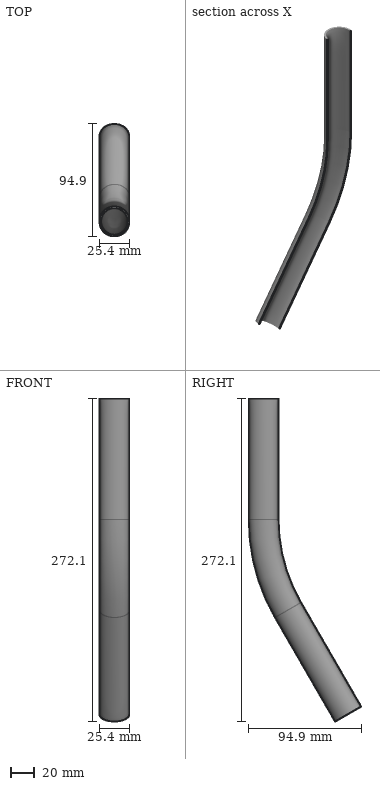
import cadquery as cq
import math

outer_diameter = 25.4
inner_diameter = 22.2
leg_length = 101.6
bend_radius = 152.4
bend_angle = 30.0


def tube_centreline():
    """Path in the YZ plane, from the top opening down to the lower opening."""
    angle = math.radians(bend_angle)

    def on_bend(turn):
        return (bend_radius * (1 - math.cos(turn)), -bend_radius * math.sin(turn))

    bend_end = on_bend(angle)
    lower_end = (
        bend_end[0] + leg_length * math.sin(angle),
        bend_end[1] - leg_length * math.cos(angle),
    )
    return (
        cq.Workplane("YZ")
        .moveTo(0, leg_length)
        .lineTo(0, 0)
        .threePointArc(on_bend(angle / 2), bend_end)
        .lineTo(*lower_end)
    )


def bent_tube():
    """Ring-shaped section swept along the centreline."""
    return (
        cq.Workplane("XY", origin=(0, 0, leg_length))
        .circle(outer_diameter / 2)
        .circle(inner_diameter / 2)
        .sweep(tube_centreline())
    )


result = bent_tube()